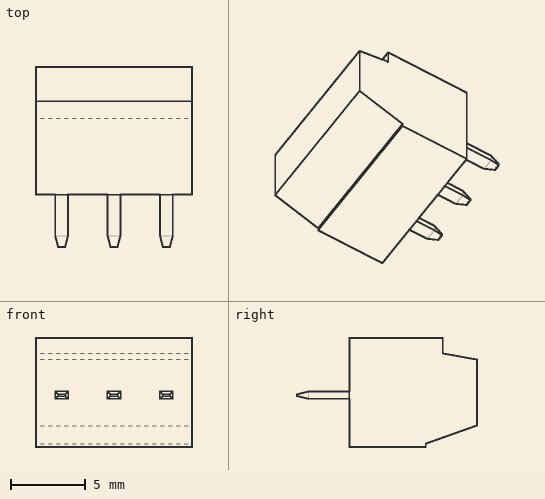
import cadquery as cq

width = 10.41
height = 7.29
depth = 8.52
pin_length = 3.5
bottom = -height / 2
top = height / 2

top_ledge_y = 6.25
top_ledge_drop = 1.03
back_top_drop = 1.44
bottom_ledge_y = 5.1
bottom_ledge_rise = 0.23
back_bottom_rise = 1.44

pin_count = 3
pin_pitch = 3.5
pin_width = 0.88
pin_thickness = 0.5
pin_z = -0.18
tip_length = 0.77
tip_width = 0.48
tip_thickness = 0.12


def make_housing():
    """Side profile, front face at y = 0, extruded across the width."""
    profile = [
        (0, bottom),
        (bottom_ledge_y, bottom),
        (bottom_ledge_y, bottom + bottom_ledge_rise),
        (depth, bottom + back_bottom_rise),
        (depth, top - back_top_drop),
        (top_ledge_y, top - top_ledge_drop),
        (top_ledge_y, top),
        (0, top),
    ]
    return cq.Workplane("YZ").polyline(profile).close().extrude(width / 2, both=True)


def make_pin(x):
    """Rectangular pin pointing to -Y, with a tapered tip."""
    shank_length = pin_length - tip_length
    front = cq.Workplane("XZ").center(x, pin_z)
    shank = front.rect(pin_width, pin_thickness).extrude(shank_length)
    tip = (
        front.workplane(offset=shank_length)
        .rect(pin_width, pin_thickness)
        .workplane(offset=tip_length)
        .rect(tip_width, tip_thickness)
        .loft(ruled=True)
    )
    return shank.union(tip)


result = make_housing()
for index in range(pin_count):
    pin_x = (index - (pin_count - 1) / 2) * pin_pitch
    result = result.union(make_pin(pin_x))